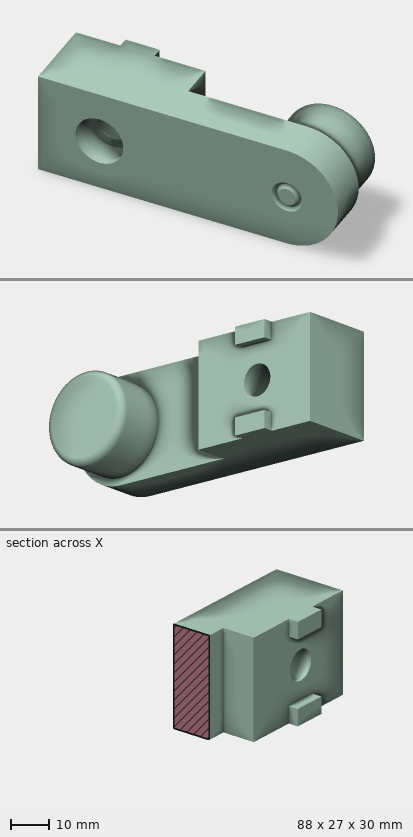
import cadquery as cq

length = 88.0
height = 30.0
arm_depth = 12.0
block_depth = 22.0
block_length = 38.0
pivot_x = length - height / 2

tab_back = 25.0
tab_width = 10.0
tab_gap = 20.0

bolt_x = 18.0
bolt_diameter = 9.0
counterbore_diameter = 14.0
counterbore_depth = 8.0

roller_diameter = 26.0
roller_back = 27.0
roller_edge_radius = 2.0
pin_diameter = 7.0
pin_chamfer = 1.0


def cylinder(x, diameter, front, back):
    """Cylinder along Y, centred on the middle height of the part."""
    plane = cq.Plane(origin=(x, front, 0), xDir=(1, 0, 0), normal=(0, 1, 0))
    return cq.Workplane(plane).circle(diameter / 2).extrude(back - front)


def box(left, width, front, back, bottom, box_height):
    corner = (left, front, bottom)
    return cq.Workplane("XY").box(width, back - front, box_height, centered=False).translate(corner)


def make_body():
    arm = box(0, pivot_x, 0, arm_depth, -height / 2, height)
    rounded_end = cylinder(pivot_x, height, 0, arm_depth)
    block = box(0, block_length, 0, block_depth, -height / 2, height)
    return arm.union(rounded_end).union(block)


def make_tabs():
    left = bolt_x - tab_width / 2
    strip = box(left, tab_width, block_depth, tab_back, -height / 2, height)
    gap = box(left, tab_width, block_depth, tab_back, -tab_gap / 2, tab_gap)
    return strip.cut(gap)


def make_mounting_hole():
    through_hole = cylinder(bolt_x, bolt_diameter, 0, block_depth)
    counterbore = cylinder(bolt_x, counterbore_diameter, 0, counterbore_depth)
    return through_hole.union(counterbore)


def make_roller():
    roller = cylinder(pivot_x, roller_diameter, arm_depth, roller_back)
    return roller.faces(">Y").edges().fillet(roller_edge_radius)


def make_pin_groove():
    """V-groove formed by the chamfered pin end and its countersunk hole."""
    pin_radius = pin_diameter / 2
    profile = [(pin_radius - pin_chamfer, 0), (pin_radius + pin_chamfer, 0), (pin_radius, pin_chamfer)]
    groove = cq.Workplane("XY").polyline(profile).close().revolve(360, (0, 0), (0, 1))
    return groove.translate((pivot_x, 0, 0))


result = (
    make_body()
    .union(make_tabs())
    .union(make_roller())
    .cut(make_mounting_hole())
    .cut(make_pin_groove())
)